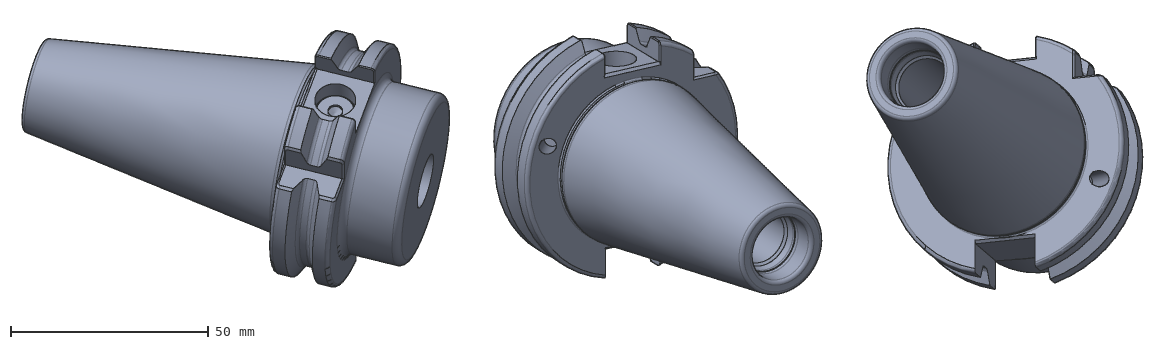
import cadquery as cq
import math

total_length = 103.4
gauge_x = 69.0
neck_groove_x = 69.8
neck_x = 70.4
flange_x = 71.6
flange_width = 15.9
flange_end_x = flange_x + flange_width
groove_center_x = 79.5

taper_ratio = 7 / 24
gauge_radius = 22.2
taper_tip_radius = gauge_radius - gauge_x * taper_ratio / 2
neck_radius = 21.9
flange_radius = 31.7
groove_floor_radius = 28.1
nose_radius = 22.5

outside = flange_radius + 1

tip_round = 1.0
neck_round = 0.4
flange_front_round = 1.0
flange_rear_round = 1.0
groove_round = 1.1
nose_root_round = 2.0
nose_end_round = 2.0

groove_half_angle = 30
groove_mouth_half = 3.6
groove_floor_half = (
    groove_mouth_half
    - (flange_radius - groove_floor_radius) * math.tan(math.radians(groove_half_angle))
)

bore_radius = 7.0
pilot_radius = 8.5
pilot_mouth_round = 1.0
pilot_end_x = 6.0
step_x = 7.0
step_outer_radius = 8.4
step_inner_radius = 8.2
funnel_start_x = 7.9
funnel_middle_x = 9.6
funnel_middle_radius = 7.7
funnel_end_x = 10.3

keyway_width = 16.1
top_keyway_floor = 25.0
bottom_keyway_floor = 22.9
notch_corner = 18.6
notch_chamfer = 0.5
wall_chamfer = 0.3
floor_chamfer = 0.7

chip_x = groove_center_x
chip_hole_radius = 5.2
chip_hole_depth = 6.6
plug_thickness = 2.1
chip_floor = top_keyway_floor - chip_hole_depth
plug_top = chip_floor + plug_thickness
plug_chamfer = 0.4
plug_hole_radius = 1.9
plug_hole_depth = 0.6
drill_tip_angle = 118

coolant_hole_radius = 2.1
coolant_circle_radius = 27.0
coolant_position_angle = 20
coolant_tilt = 39
coolant_length = 12.4
coolant_lead = 3.1

select_margin = 0.05


def revolve_about_x(profile):
    """Turn a closed profile drawn in (x, radius) about the X axis."""
    return profile.close().revolve(360, (0, 0, 0), (1, 0, 0))


def edges_within(body, x, y_range, z_range):
    """Edges that lie wholly in a thin window across the axis at the given x."""
    window = cq.selectors.BoxSelector(
        (x - select_margin, y_range[0] - select_margin, z_range[0] - select_margin),
        (x + select_margin, y_range[1] + select_margin, z_range[1] + select_margin),
        boundingbox=True,
    )
    return body.edges(window)


def circle_edge(body, x, radius):
    """Circular edge about the X axis with the given place and radius."""
    span = (-radius, radius)
    return edges_within(body, x, span, span).edges(cq.selectors.RadiusNthSelector(-1))


def turned_blank():
    outline = (
        cq.Workplane("XZ")
        .moveTo(0, 0)
        .lineTo(0, taper_tip_radius)
        .lineTo(gauge_x, gauge_radius)
        .lineTo(neck_groove_x, gauge_radius)
        .lineTo(neck_x, neck_radius)
        .lineTo(flange_x, neck_radius)
        .lineTo(flange_x, flange_radius)
        .lineTo(groove_center_x - groove_mouth_half, flange_radius)
        .lineTo(groove_center_x - groove_floor_half, groove_floor_radius)
        .lineTo(groove_center_x + groove_floor_half, groove_floor_radius)
        .lineTo(groove_center_x + groove_mouth_half, flange_radius)
        .lineTo(flange_end_x, flange_radius)
        .lineTo(flange_end_x, nose_radius)
        .lineTo(total_length, nose_radius)
        .lineTo(total_length, 0)
    )
    body = revolve_about_x(outline)
    rounds = [
        (0, taper_tip_radius, tip_round),
        (flange_x, neck_radius, neck_round),
        (flange_x, flange_radius, flange_front_round),
        (groove_center_x - groove_floor_half, groove_floor_radius, groove_round),
        (groove_center_x + groove_floor_half, groove_floor_radius, groove_round),
        (flange_end_x, flange_radius, flange_rear_round),
        (flange_end_x, nose_radius, nose_root_round),
        (total_length, nose_radius, nose_end_round),
    ]
    for x, radius, size in rounds:
        body = circle_edge(body, x, radius).fillet(size)
    return body


def bore():
    mouth_radius = pilot_radius + pilot_mouth_round
    outline = (
        cq.Workplane("XZ")
        .moveTo(0, 0)
        .lineTo(0, mouth_radius)
        .radiusArc((pilot_mouth_round, pilot_radius), -pilot_mouth_round)
        .lineTo(pilot_end_x, pilot_radius)
        .lineTo(step_x, step_outer_radius)
        .lineTo(step_x, step_inner_radius)
        .lineTo(funnel_start_x, step_inner_radius)
        .lineTo(funnel_middle_x, funnel_middle_radius)
        .lineTo(funnel_end_x, bore_radius)
        .lineTo(total_length, bore_radius)
        .lineTo(total_length, 0)
    )
    return revolve_about_x(outline)


def block(y_range, z_range):
    """A cutter across the flange and the rounded root of the nose."""
    size_y = y_range[1] - y_range[0]
    size_z = z_range[1] - z_range[0]
    return (
        cq.Workplane("XY")
        .box(flange_width + nose_root_round, size_y, size_z, centered=False)
        .translate((flange_x, y_range[0], z_range[0]))
    )


def bevel_edges(body, y_range, z_range, size):
    """Chamfer the straight edges of both flange faces that lie in the given window, and the
    outer edges that run on smoothly from them."""
    for x in (flange_x, flange_end_x):
        body = edges_within(body, x, y_range, z_range).chamfer(size)
    return body


def floor_bevel(width, floor_z, size):
    """Wedge that breaks the taper-side edge of a level keyway floor; a negative floor faces down."""
    drop = math.copysign(size, floor_z)
    return (
        cq.Workplane("XZ")
        .moveTo(flange_x, floor_z)
        .lineTo(flange_x, floor_z - drop)
        .lineTo(flange_x + size, floor_z)
        .close()
        .extrude(width / 2, both=True)
    )


def cut_top_keyway(body):
    half = keyway_width / 2
    body = body.cut(block((-half, half), (top_keyway_floor, outside)))
    for y in (-half, half):
        body = bevel_edges(body, (y, y), (top_keyway_floor, outside), wall_chamfer)
    return body.cut(floor_bevel(keyway_width + 2 * wall_chamfer, top_keyway_floor, floor_chamfer))


def cut_bottom_keyway(body):
    half = keyway_width / 2
    body = body.cut(block((-half, half), (-outside, -bottom_keyway_floor)))
    return body.cut(floor_bevel(keyway_width, -bottom_keyway_floor, floor_chamfer))


def cut_notch(body):
    body = body.cut(block((-outside, -notch_corner), (notch_corner, outside)))
    walls = [
        ((-notch_corner, -notch_corner), (notch_corner, outside)),
        ((-outside, -notch_corner), (notch_corner, notch_corner)),
    ]
    for y_range, z_range in walls:
        body = bevel_edges(body, y_range, z_range, notch_chamfer)
    return body


def cut_chip_hole(body):
    hole = (
        cq.Workplane("XY", origin=(chip_x, 0, chip_floor))
        .circle(chip_hole_radius)
        .extrude(chip_hole_depth)
    )
    return body.cut(hole)


def chip_plug():
    """Round plug on the floor of the chip hole, with a shallow drilled centre."""
    plug = (
        cq.Workplane("XY", origin=(chip_x, 0, chip_floor))
        .circle(chip_hole_radius)
        .extrude(plug_thickness)
        .faces(">Z")
        .chamfer(plug_chamfer)
    )
    drill_tip = plug_hole_radius / math.tan(math.radians(drill_tip_angle / 2))
    center_hole = (
        cq.Workplane("XZ", origin=(chip_x, 0, plug_top))
        .lineTo(plug_hole_radius, 0)
        .lineTo(plug_hole_radius, -plug_hole_depth)
        .lineTo(0, -plug_hole_depth - drill_tip)
        .close()
        .revolve()
    )
    return plug.cut(center_hole)


def cut_coolant_holes(body):
    """Two opposite holes in the taper-side face that lean towards the axis as they go in."""
    inward = math.sin(math.radians(coolant_tilt))
    along = math.cos(math.radians(coolant_tilt))
    start = cq.Vector(flange_x - coolant_lead * along, coolant_circle_radius + coolant_lead * inward, 0)
    drill = cq.Solid.makeCylinder(
        coolant_hole_radius, coolant_length + coolant_lead, start, cq.Vector(along, -inward, 0)
    )
    for turn in (coolant_position_angle, coolant_position_angle + 180):
        body = body.cut(cq.Workplane(drill).rotate((0, 0, 0), (1, 0, 0), turn))
    return body


housing = turned_blank().cut(bore())
housing = cut_top_keyway(housing)
housing = cut_bottom_keyway(housing)
housing = cut_notch(housing)
housing = cut_chip_hole(housing)
housing = cut_coolant_holes(housing)
plug = chip_plug()
result = cq.Compound.makeCompound([housing.val(), plug.val()])